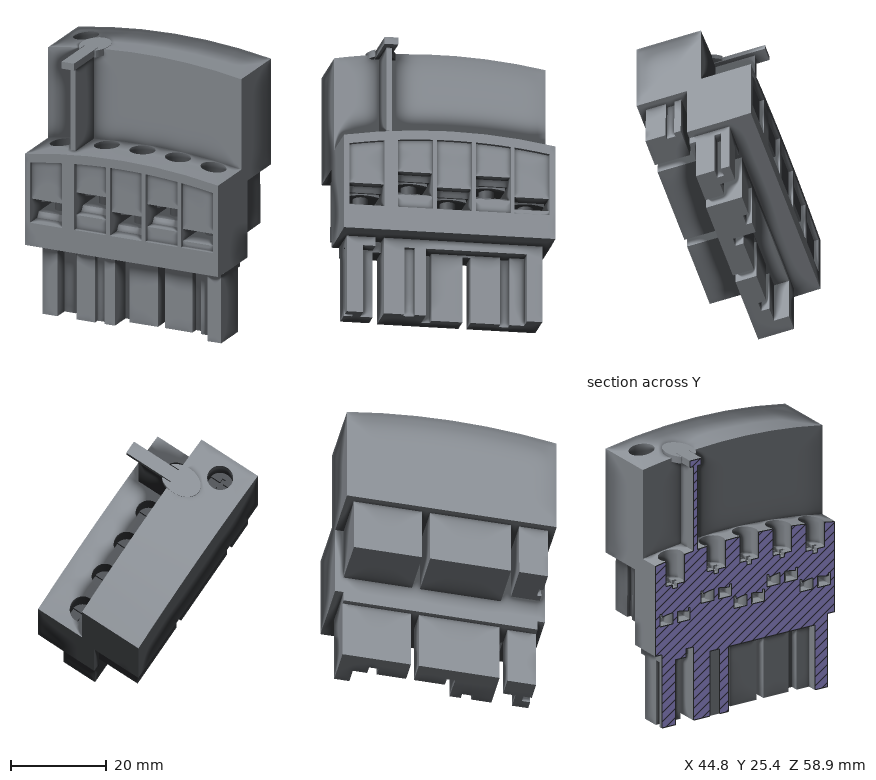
import cadquery as cq
import math

WIDTH = 44.8
HALF_WIDTH = WIDTH / 2
TOP_Z = 58.9
CROWN_RISE = 2.0
CROWN_RADIUS = (HALF_WIDTH**2 + CROWN_RISE**2) / (2 * CROWN_RISE)

BACK_Y = 25.15
UPPER_FRONT_Y = 11.0
UPPER_BOTTOM_Z = 33.5
STEP_TOP_Z = 38.9
LOWER_BACK_Y = 14.1
LOWER_BOTTOM_Z = 16.5
BOTTOM_RELIEF = 0.2

SCREW_PITCH = 8.25
RIGHT_SCREW_X = 17.5
LEFT_SCREW_X = -17.5
FRONT_SCREW_Y = 7.9
REAR_SCREW_Y = 18.95
SCREW_HOLE_DIAMETER = 5.4
SCREW_HOLE_DEPTH = 5.9
SLOT_WIDTH = 1.05
CROSS_LENGTH = 3.0
CROSS_WIDTH = 0.75
SLOT_DEPTH = 0.9
SHANK_DIAMETER = 3.3

WINDOW_WIDTH = 7.4
WINDOW_BOTTOM_Z = 21.8
WINDOW_TOP_MARGIN = 2.0
WINDOW_DEPTH = 1.0
MOUTH_HEIGHT = 5.0
MOUTH_DEPTH = 3.4
FUNNEL_LENGTH = 0.7
FUNNEL_RISE = 1.2
LOW_MOUTH_Z = WINDOW_BOTTOM_Z
HIGH_MOUTH_Z = 24.8
CHAMBER_BACK_Y = 10.6
PAD_WIDTH = 6.7
PAD_THICKNESS = 0.7
PAD_ARCH = 0.5
PAD_FRONT_Y = 4.7

FLAG_BAR_X = -12.35
FLAG_TOP_Z = 58.65
FLAG_THICKNESS = 1.55
FLAG_TIP_Y = -0.2
FLAG_BAR_WIDTH = 2.9
FLAG_HEAD_X = -12.3
FLAG_HEAD_Y = 12.65
FLAG_HEAD_HALF_WIDTH = 3.1
FLAG_HEAD_HALF_LENGTH = 4.4
FLAG_HEAD_FRONT_Y = 9.1
FLAG_SLIT_WIDTH = 0.2
FIN_WIDTH = 1.1
FIN_FRONT_Y = 2.35

LEG_LEFT_X = -20.85
LEG_RIGHT_X = 20.6
LEFT_LEG_RIGHT_X = -14.7
MIDDLE_LEG_X = (-12.95, 4.3)
RIGHT_LEG_LEFT_X = 6.0
LEG_FRONT_Y = 5.2
LEG_BACK_Y = 13.1
LEFT_LEG_BACK_Y = 12.6
LEG_WEB_Y = 8.5
PLINTH_BOTTOM_Z = 14.2
LEG_RECESS_TOP_Z = 14.6
LEFT_KEY_RIGHT_X = -17.4
SIDE_SLOT_Y = 7.05
KEY_SLOT_DEPTH = 1.75
MIDDLE_GROOVE_X = (-8.65, -6.4)
MIDDLE_GROOVE_DEPTH = 1.25
MIDDLE_KEY_RIGHT_X = -4.05
MIDDLE_SLOT_RIGHT_X = -2.3
RIGHT_SLOT_X = (12.3, 14.3)
RIGHT_KEY_LEFT_X = 17.4

REAR_LEG_BOTTOM_Z = 20.7
REAR_LEG_FRONT_Y = 15.85
REAR_LEG_BACK_Y = 23.6
REAR_SLOT_Y = (17.3, 19.2)
REAR_SLOT_DEPTH = 0.9
REAR_LEG_TILT = 0.6
OVERLAP = 0.6


def box(x_range, y_range, z_range):
    sizes = [high - low for low, high in (x_range, y_range, z_range)]
    corner = (x_range[0], y_range[0], z_range[0])
    return cq.Workplane("XY").box(*sizes, centered=False).translate(corner)


def crown_z(x, top_z):
    """Height of a domed top at x, when its highest point is top_z."""
    return top_z - CROWN_RADIUS + math.sqrt(CROWN_RADIUS**2 - x**2)


def domed_block(x_range, y_range, bottom_z, top_z):
    """Block whose top follows the crown arc."""
    left, right = x_range
    middle = (left + right) / 2
    return (
        cq.Workplane("XZ", origin=(0, y_range[0], 0))
        .moveTo(left, bottom_z)
        .lineTo(right, bottom_z)
        .lineTo(right, crown_z(right, top_z))
        .threePointArc((middle, crown_z(middle, top_z)), (left, crown_z(left, top_z)))
        .close()
        .extrude(y_range[0] - y_range[1])
    )


def body():
    full_width = (-HALF_WIDTH, HALF_WIDTH)
    upper = domed_block(full_width, (UPPER_FRONT_Y, BACK_Y), UPPER_BOTTOM_Z, TOP_Z)
    lower = domed_block(full_width, (0, LOWER_BACK_Y), LOWER_BOTTOM_Z, STEP_TOP_Z)
    front_bottom_z = LOWER_BOTTOM_Z + BOTTOM_RELIEF
    relief = (
        cq.Workplane("YZ", origin=(-HALF_WIDTH, 0, 0))
        .polyline([(0, LOWER_BOTTOM_Z), (LEG_FRONT_Y, LOWER_BOTTOM_Z), (0, front_bottom_z)])
        .close()
        .extrude(WIDTH)
    )
    return upper.union(lower).cut(relief)


def screw_recess(x, y, top_z):
    """Round access hole with the slot and cross of the screw head at its floor."""
    floor_z = crown_z(x, top_z) - SCREW_HOLE_DEPTH
    hole = (
        cq.Workplane("XY", origin=(x, y, floor_z))
        .circle(SCREW_HOLE_DIAMETER / 2)
        .extrude(top_z - floor_z)
    )
    head = cq.Workplane("XY", origin=(x, y, floor_z - SLOT_DEPTH))
    slot = head.rect(SLOT_WIDTH, SCREW_HOLE_DIAMETER).extrude(SLOT_DEPTH)
    disc = head.circle(SCREW_HOLE_DIAMETER / 2).extrude(SLOT_DEPTH)
    cross = head.rect(CROSS_LENGTH, CROSS_WIDTH).extrude(SLOT_DEPTH)
    return hole.union(slot.intersect(disc)).union(cross)


def window(x):
    """Shallow panel recess whose top edge runs parallel to the crown."""
    sides = (x - WINDOW_WIDTH / 2, x + WINDOW_WIDTH / 2)
    return domed_block(sides, (0, WINDOW_DEPTH), WINDOW_BOTTOM_Z, STEP_TOP_Z - WINDOW_TOP_MARGIN)


def wire_chamber(x, mouth_z, funnelled):
    """Wire entry leading to a chamber, which holds the screw shank and its arched pad."""
    mouth_top_z = mouth_z + MOUTH_HEIGHT
    throat_bottom_z = mouth_z + FUNNEL_RISE
    throat_top_z = mouth_top_z - FUNNEL_RISE
    funnel_end_y = MOUTH_DEPTH + FUNNEL_LENGTH
    left = x - WINDOW_WIDTH / 2
    if funnelled:
        profile = [
            (0, mouth_z),
            (MOUTH_DEPTH, mouth_z),
            (funnel_end_y, throat_bottom_z),
            (CHAMBER_BACK_Y, throat_bottom_z),
            (CHAMBER_BACK_Y, throat_top_z),
            (funnel_end_y, throat_top_z),
            (MOUTH_DEPTH, mouth_top_z),
            (0, mouth_top_z),
        ]
        chamber = cq.Workplane("YZ", origin=(left, 0, 0)).polyline(profile).close().extrude(WINDOW_WIDTH)
    else:
        chamber = box(
            (left, left + WINDOW_WIDTH), (0, CHAMBER_BACK_Y), (throat_bottom_z, throat_top_z)
        )
    shank = (
        cq.Workplane("XY", origin=(x, FRONT_SCREW_Y, throat_bottom_z))
        .circle(SHANK_DIAMETER / 2)
        .extrude(throat_top_z - throat_bottom_z)
    )
    pad_bottom_z = throat_top_z - PAD_THICKNESS
    pad = (
        cq.Workplane("XZ", origin=(x, PAD_FRONT_Y, 0))
        .moveTo(-PAD_WIDTH / 2, throat_top_z)
        .lineTo(-PAD_WIDTH / 2, pad_bottom_z)
        .threePointArc((0, pad_bottom_z + PAD_ARCH), (PAD_WIDTH / 2, pad_bottom_z))
        .lineTo(PAD_WIDTH / 2, throat_top_z)
        .close()
        .extrude(PAD_FRONT_Y - CHAMBER_BACK_Y)
    )
    return chamber.cut(shank).cut(pad)


def label_flag():
    bottom_z = FLAG_TOP_Z - FLAG_THICKNESS
    bar_half = FLAG_BAR_WIDTH / 2
    thickness = (bottom_z, FLAG_TOP_Z)
    head = (
        cq.Workplane("XY", origin=(FLAG_HEAD_X, FLAG_HEAD_Y, bottom_z))
        .ellipse(FLAG_HEAD_HALF_WIDTH, FLAG_HEAD_HALF_LENGTH)
        .extrude(FLAG_THICKNESS)
    )
    head_sides = (FLAG_HEAD_X - FLAG_HEAD_HALF_WIDTH, FLAG_HEAD_X + FLAG_HEAD_HALF_WIDTH)
    tip_y = FLAG_HEAD_Y - FLAG_HEAD_HALF_LENGTH
    head = head.cut(box(head_sides, (tip_y, FLAG_HEAD_FRONT_Y), thickness))
    slit_half = bar_half + FLAG_SLIT_WIDTH
    head = head.cut(
        box((FLAG_BAR_X - slit_half, FLAG_BAR_X + slit_half), (FLAG_HEAD_FRONT_Y, UPPER_FRONT_Y), thickness)
    )
    bar = box((FLAG_BAR_X - bar_half, FLAG_BAR_X + bar_half), (FLAG_TIP_Y, FLAG_HEAD_Y), thickness)
    fin = box(
        (FLAG_BAR_X - FIN_WIDTH / 2, FLAG_BAR_X + FIN_WIDTH / 2),
        (FIN_FRONT_Y, UPPER_FRONT_Y + OVERLAP),
        (crown_z(HALF_WIDTH, STEP_TOP_Z), bottom_z),
    )
    return head.union(bar).union(fin)


def front_legs():
    top_z = LOWER_BOTTOM_Z + OVERLAP
    height = (0, top_z)
    recess = (0, LEG_RECESS_TOP_Z)
    set_back = (LEG_FRONT_Y, LEG_WEB_Y)
    key_slot = (LEG_FRONT_Y, LEG_WEB_Y + KEY_SLOT_DEPTH)

    legs = box((LEG_LEFT_X, LEG_RIGHT_X), (LEG_WEB_Y, LOWER_BACK_Y), (PLINTH_BOTTOM_Z, top_z))
    legs = legs.union(
        box((MIDDLE_LEG_X[0], LEG_RIGHT_X), (LEG_FRONT_Y, LOWER_BACK_Y), (LEG_RECESS_TOP_Z, top_z))
    )
    legs = legs.union(box((LEG_LEFT_X, LEFT_LEG_RIGHT_X), (LEG_FRONT_Y, LEFT_LEG_BACK_Y), height))
    legs = legs.union(box(MIDDLE_LEG_X, (LEG_FRONT_Y, LEG_BACK_Y), height))
    legs = legs.union(box((RIGHT_LEG_LEFT_X, LEG_RIGHT_X), (LEG_FRONT_Y, LEG_BACK_Y), height))

    cuts = [
        ((LEFT_KEY_RIGHT_X, LEFT_LEG_RIGHT_X), set_back),
        ((LEG_LEFT_X, LEG_LEFT_X + KEY_SLOT_DEPTH), (SIDE_SLOT_Y, LEG_WEB_Y)),
        (MIDDLE_GROOVE_X, (LEG_FRONT_Y, LEG_FRONT_Y + MIDDLE_GROOVE_DEPTH)),
        ((MIDDLE_KEY_RIGHT_X, MIDDLE_LEG_X[1]), set_back),
        ((MIDDLE_KEY_RIGHT_X, MIDDLE_SLOT_RIGHT_X), key_slot),
        ((RIGHT_LEG_LEFT_X, RIGHT_KEY_LEFT_X), set_back),
        (RIGHT_SLOT_X, key_slot),
    ]
    for x_range, y_range in cuts:
        legs = legs.cut(box(x_range, y_range, recess))
    return legs


def rear_legs():
    """Slotted left leg and two plain ones, all leaning slightly backwards at the tip."""
    height = (REAR_LEG_BOTTOM_Z, UPPER_BOTTOM_Z + OVERLAP)
    left = box((LEG_LEFT_X, LEFT_LEG_RIGHT_X), (REAR_LEG_FRONT_Y, REAR_LEG_BACK_Y), height)
    left = left.cut(box((LEG_LEFT_X, LEG_LEFT_X + REAR_SLOT_DEPTH), REAR_SLOT_Y, height))
    depth = (LOWER_BACK_Y - OVERLAP, REAR_LEG_BACK_Y)
    middle = box(MIDDLE_LEG_X, depth, height)
    right = box((RIGHT_LEG_LEFT_X, LEG_RIGHT_X), depth, height)
    pivot = (0, REAR_LEG_BACK_Y, UPPER_BOTTOM_Z)
    pivot_end = (1, REAR_LEG_BACK_Y, UPPER_BOTTOM_Z)
    return left.union(middle).union(right).rotate(pivot, pivot_end, REAR_LEG_TILT)


result = body().union(label_flag()).union(front_legs()).union(rear_legs())

front_screw_x = [LEFT_SCREW_X] + [RIGHT_SCREW_X - n * SCREW_PITCH for n in (3, 2, 1, 0)]
mouth_heights = [LOW_MOUTH_Z, HIGH_MOUTH_Z, LOW_MOUTH_Z, HIGH_MOUTH_Z, LOW_MOUTH_Z]
for screw_x, mouth_z in zip(front_screw_x, mouth_heights):
    result = result.cut(window(screw_x))
    result = result.cut(wire_chamber(screw_x, mouth_z, funnelled=screw_x != RIGHT_SCREW_X))
    result = result.cut(screw_recess(screw_x, FRONT_SCREW_Y, STEP_TOP_Z))
result = result.cut(screw_recess(LEFT_SCREW_X, REAR_SCREW_Y, TOP_Z))